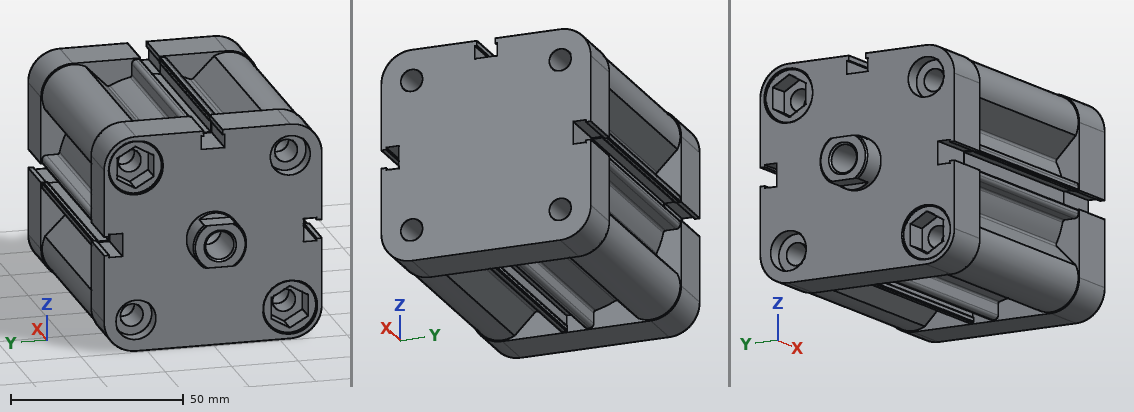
import cadquery as cq
import math


ROD_PROJECTION = 8.1
COVER_THICKNESS = 14.65
TOTAL_LENGTH = 94.5
FRONT_COVER_X = ROD_PROJECTION
BARREL_X = FRONT_COVER_X + COVER_THICKNESS
REAR_COVER_X = TOTAL_LENGTH - COVER_THICKNESS
BARREL_LENGTH = REAR_COVER_X - BARREL_X

COVER_SIZE = 65.5
COVER_CORNER_RADIUS = 9.5
BARREL_INSET = 0.4
HOLE_OFFSET = COVER_SIZE / 2 - COVER_CORNER_RADIUS
CORNER_POINTS = [(y, z) for y in (-HOLE_OFFSET, HOLE_OFFSET) for z in (-HOLE_OFFSET, HOLE_OFFSET)]
SCREW_POINTS = [(y, z) for y, z in CORNER_POINTS if y * z > 0]
COUNTERBORE_POINTS = [(y, z) for y, z in CORNER_POINTS if y * z < 0]
HOLE_DIAMETER = 6.8

ALL_SIDES = (0, 90, 180, 270)
COVER_SLOT_SIDES = (0, 90, 270)

COUNTERBORE_DIAMETER = 12.0
COUNTERBORE_DEPTH = 4.7
HEX_SIDES = 6
HEX_ACROSS_FLATS = 11.1
HEX_DEPTH = 6.6
POINT_UP_TURN = 90
RING_OUTER_DIAMETER = 16.35
RING_INNER_DIAMETER = 15.8
RING_DEPTH = 0.9
HEAD_RECESS = 0.5

SLOT_MOUTH_WIDTH = 5.7
SLOT_LIP_DEPTH = 1.5
COVER_SLOT_WIDTH = 7.0
BARREL_SLOT_WIDTH = 6.2
COVER_FLOOR_OFFSET = 27.2
BARREL_FLOOR_OFFSET = 27.5
MOUTH_CHAMFER = 0.3

BARREL_HALF = COVER_SIZE / 2 - BARREL_INSET
BARREL_RADIUS = 27.8
LUG_RADIUS = COVER_CORNER_RADIUS - BARREL_INSET
LUG_WIDTH = 17.2
DIAGONAL_ANGLE = 45
LUG_FOOT_FILLET = 0.85
RAIL_WIDTH = 10.8
RAIL_ROUND = 1.2
RAIL_FOOT_FILLET = 0.8

ROD_DIAMETER = 16.0
ROD_CHAMFER = 0.5
ROD_LENGTH = BARREL_X
ROD_ACROSS_FLATS = 12.9
FLAT_LENGTH = 6.2
FLAT_RUNOUT = 0.4
ROD_HOLE_DIAMETER = 8.5
ROD_HOLE_CHAMFER = 0.6
ROD_HOLE_DEPTH = 15.1
DRILL_POINT_ANGLE = 118.0


def section_at(x):
    """Sketch plane across the cylinder: local x is Y, local y is Z, extrusion goes towards +X."""
    return cq.Workplane("YZ", origin=(x, 0, 0))


def around_axis(shape, turns=ALL_SIDES):
    """Copies of a shape turned about the X axis by each of the given angles."""
    copies = cq.Workplane()
    for angle in turns:
        copies = copies.add(shape.rotate((0, 0, 0), (1, 0, 0), angle))
    return copies.combine()


def t_slots(x, length, surface, inner_width, floor, turns):
    """Cutters for the T-slots of the chosen sides, each open at `surface`."""
    mouth_height = surface - floor
    inner_height = mouth_height - SLOT_LIP_DEPTH
    mouth = section_at(x).center(0, floor + mouth_height / 2).rect(SLOT_MOUTH_WIDTH, mouth_height)
    inside = section_at(x).center(0, floor + inner_height / 2).rect(inner_width, inner_height)
    return around_axis(mouth.extrude(length).union(inside.extrude(length)), turns)


def cover_blank(x):
    """Rounded square plate, slotted on all sides but the underside, with a through hole in each corner."""
    plate = section_at(x).rect(COVER_SIZE, COVER_SIZE).extrude(COVER_THICKNESS)
    plate = plate.edges("|X").fillet(COVER_CORNER_RADIUS)
    plate = plate.cut(
        t_slots(x, COVER_THICKNESS, COVER_SIZE / 2, COVER_SLOT_WIDTH, COVER_FLOOR_OFFSET, COVER_SLOT_SIDES)
    )
    holes = section_at(x).pushPoints(CORNER_POINTS).circle(HOLE_DIAMETER / 2)
    return plate.cut(holes.extrude(COVER_THICKNESS))


def screw_head_recess(y, z):
    """Cutter that leaves a sunken screw head: ring gap around it, hexagon socket with points up and down."""
    base = section_at(FRONT_COVER_X).center(y, z)
    head = base.circle(RING_INNER_DIAMETER / 2).extrude(RING_DEPTH)
    sunken_face = base.circle(RING_INNER_DIAMETER / 2).extrude(HEAD_RECESS)
    ring = base.circle(RING_OUTER_DIAMETER / 2).extrude(RING_DEPTH).cut(head)
    width_across_points = HEX_ACROSS_FLATS / math.cos(math.pi / HEX_SIDES)
    socket = base.transformed(rotate=(0, 0, POINT_UP_TURN)).polygon(HEX_SIDES, width_across_points)
    return ring.union(sunken_face).union(socket.extrude(HEAD_RECESS + HEX_DEPTH))


def make_front_cover():
    x = FRONT_COVER_X
    cover = cover_blank(x)

    rod_bore = section_at(x).circle(ROD_DIAMETER / 2).extrude(COVER_THICKNESS)
    counterbores = section_at(x).pushPoints(COUNTERBORE_POINTS).circle(COUNTERBORE_DIAMETER / 2)
    cover = cover.cut(rod_bore).cut(counterbores.extrude(COUNTERBORE_DEPTH))

    for y, z in SCREW_POINTS:
        cover = cover.cut(screw_head_recess(y, z))
    return cover


def make_rear_cover():
    return cover_blank(REAR_COVER_X)


def barrel_lug():
    """Lug from the axis to one corner: flanks parallel to the diagonal and a round head."""
    head_centre = HOLE_OFFSET * math.sqrt(2)
    half_width = LUG_WIDTH / 2
    flank_end = head_centre + math.sqrt(LUG_RADIUS**2 - half_width**2)
    outline = (
        section_at(BARREL_X)
        .moveTo(0, -half_width)
        .lineTo(flank_end, -half_width)
        .threePointArc((head_centre + LUG_RADIUS, 0), (flank_end, half_width))
        .lineTo(0, half_width)
        .close()
    )
    return outline.extrude(BARREL_LENGTH).rotate((0, 0, 0), (1, 0, 0), DIAGONAL_ANGLE)


def barrel_rail():
    """Rail on the +Z side that carries a T-slot, with rounded outer edges."""
    rail = section_at(BARREL_X).center(0, BARREL_HALF / 2).rect(RAIL_WIDTH, BARREL_HALF)
    return rail.extrude(BARREL_LENGTH).edges("|X and >Z").fillet(RAIL_ROUND)


def mouth_chamfers():
    """Cutters for the bevelled edges of the four slot mouths of the barrel."""
    half_mouth = SLOT_MOUTH_WIDTH / 2
    half_top = half_mouth + MOUTH_CHAMFER
    bevel_floor = BARREL_HALF - MOUTH_CHAMFER
    bevel = section_at(BARREL_X).polyline([
        (-half_mouth, bevel_floor),
        (half_mouth, bevel_floor),
        (half_top, BARREL_HALF),
        (-half_top, BARREL_HALF),
    ]).close()
    return around_axis(bevel.extrude(BARREL_LENGTH))


def make_barrel():
    core = section_at(BARREL_X).circle(BARREL_RADIUS).extrude(BARREL_LENGTH)
    core_box = cq.selectors.BoxSelector(
        (BARREL_X, -BARREL_RADIUS, -BARREL_RADIUS),
        (REAR_COVER_X, BARREL_RADIUS, BARREL_RADIUS),
    )
    barrel = core.union(around_axis(barrel_lug()))
    barrel = barrel.edges("|X").edges(core_box).fillet(LUG_FOOT_FILLET)
    rails = core.union(around_axis(barrel_rail()))
    rails = rails.edges("|X").edges(core_box).fillet(RAIL_FOOT_FILLET)
    barrel = barrel.union(rails)

    slots = t_slots(
        BARREL_X, BARREL_LENGTH, BARREL_HALF, BARREL_SLOT_WIDTH, BARREL_FLOOR_OFFSET, ALL_SIDES
    )
    holes = section_at(BARREL_X).pushPoints(CORNER_POINTS).circle(HOLE_DIAMETER / 2)
    return barrel.cut(slots).cut(mouth_chamfers()).cut(holes.extrude(BARREL_LENGTH))


def wrench_flat():
    """Cutter for the flat on the +Z side of the rod tip, with a sloping end."""
    flat_height = ROD_ACROSS_FLATS / 2
    rod_radius = ROD_DIAMETER / 2
    outline = cq.Workplane("XZ").polyline([
        (0, flat_height),
        (FLAT_LENGTH, flat_height),
        (FLAT_LENGTH + FLAT_RUNOUT, rod_radius),
        (0, rod_radius),
    ]).close()
    return outline.extrude(rod_radius, both=True)


def threaded_end_hole():
    """Cutter for the blind hole in the rod tip: chamfered mouth, cylinder and drill point."""
    radius = ROD_HOLE_DIAMETER / 2
    point_length = radius / math.tan(math.radians(DRILL_POINT_ANGLE / 2))
    half_profile = cq.Workplane("XZ").polyline([
        (0, 0),
        (0, radius + ROD_HOLE_CHAMFER),
        (ROD_HOLE_CHAMFER, radius),
        (ROD_HOLE_DEPTH, radius),
        (ROD_HOLE_DEPTH + point_length, 0),
    ]).close()
    return half_profile.revolve(360, (0, 0, 0), (1, 0, 0))


def make_rod():
    rod = section_at(0).circle(ROD_DIAMETER / 2).extrude(ROD_LENGTH)
    rod = rod.faces("<X").chamfer(ROD_CHAMFER)
    flat = wrench_flat()
    opposite_flat = flat.mirror("XY")
    return rod.cut(flat).cut(opposite_flat).cut(threaded_end_hole())


front_cover = make_front_cover()
barrel = make_barrel()
rear_cover = make_rear_cover()
rod = make_rod()

result = cq.Compound.makeCompound([front_cover.val(), barrel.val(), rear_cover.val(), rod.val()])